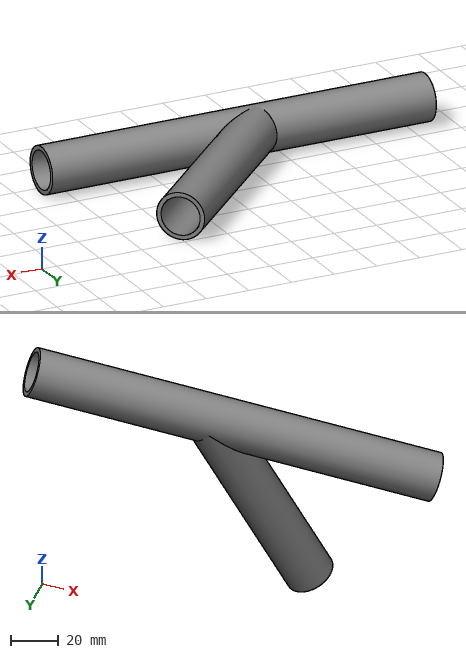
import cadquery as cq
import math

PIPE_LENGTH = 180.0
OUTER_DIAMETER = 21.2
BORE_DIAMETER = 17.3
INLET_LENGTH = 79.2
BRANCH_LENGTH = 100.8
BRANCH_ANGLE = 45.0

branch_direction = cq.Vector(
    math.cos(math.radians(BRANCH_ANGLE)),
    math.sin(math.radians(BRANCH_ANGLE)),
    0,
)


def main_cylinder(diameter):
    """Full-length cylinder on the main axis."""
    start = cq.Vector(-INLET_LENGTH, 0, 0)
    return cq.Solid.makeCylinder(diameter / 2, PIPE_LENGTH, start, cq.Vector(1, 0, 0))


def branch_cylinder(diameter):
    """Cylinder on the branch axis, starting at the crossing of the two axes."""
    return cq.Solid.makeCylinder(diameter / 2, BRANCH_LENGTH, cq.Vector(0, 0, 0), branch_direction)


def joined_cylinders(diameter):
    """Main and branch cylinders of one diameter, merged into a Y."""
    return cq.Workplane(main_cylinder(diameter)).union(cq.Workplane(branch_cylinder(diameter)))


result = joined_cylinders(OUTER_DIAMETER).cut(joined_cylinders(BORE_DIAMETER))